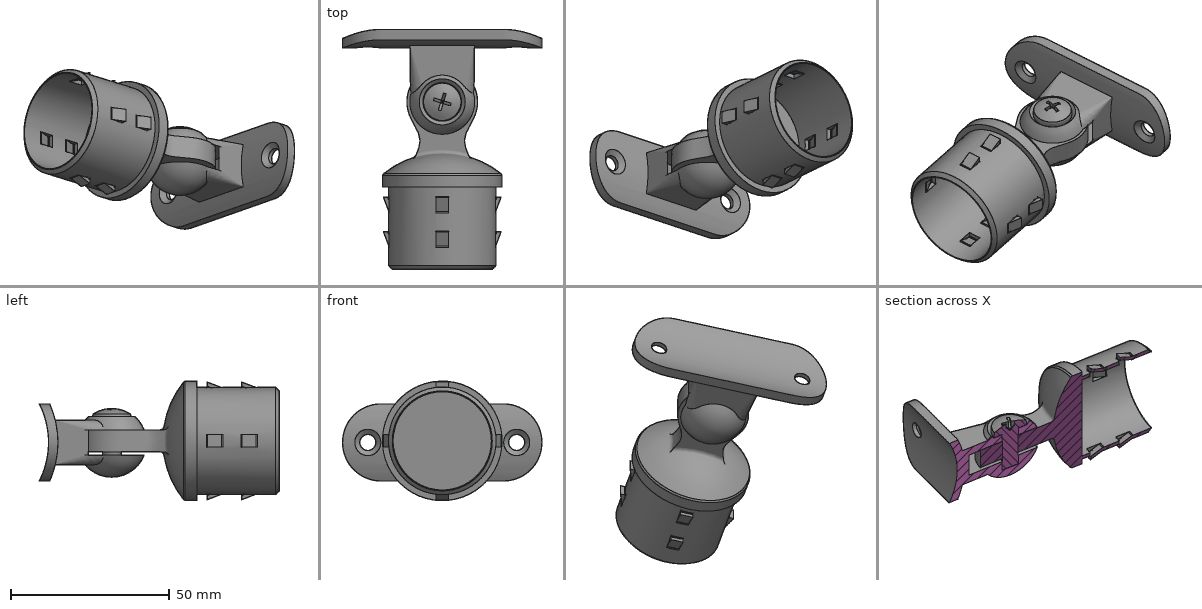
import cadquery as cq
import math


PLATE_LENGTH = 63.0
PLATE_HEIGHT = 24.4
PLATE_THICKNESS = 3.0
PLATE_FRONT_Y = 17.0
PLATE_BACK_RADIUS = 27.0
PLATE_FRONT_RADIUS = PLATE_BACK_RADIUS + PLATE_THICKNESS
PLATE_AXIS_Y = PLATE_FRONT_Y + PLATE_FRONT_RADIUS
PLATE_HOLE_SPACING = 47.0
PLATE_HOLE_DIAMETER = 5.0
COUNTERSINK_WIDTH = 8.2
COUNTERSINK_HEIGHT = 9.0
COUNTERSINK_DEPTH = 1.65

BASE_Z = -0.5
BALL_RADIUS = 11.0
BALL_TOP_Z = 7.8
NECK_HALF_WIDTH = 10.15
NECK_HALF_HEIGHT = 7.05
NECK_ROUNDING_AT_PIVOT = 5.4
NECK_ROUNDING_AT_PLATE = 0.05
NECK_ROOT_Y = PLATE_AXIS_Y - math.sqrt(PLATE_FRONT_RADIUS**2 - NECK_HALF_HEIGHT**2)
SLOT_HEIGHT = 8.0
SLOT_EDGE_Y = 7.4
SLOT_CENTRE_Y = 5.0
SLOT_RADIUS = math.hypot(NECK_HALF_WIDTH, SLOT_EDGE_Y - SLOT_CENTRE_Y)

SHANK_RADIUS = 3.0
SHANK_END_Z = -8.0
HEAD_RADIUS = 6.1
HEAD_CAP_RADIUS = 5.9
HEAD_SHOULDER_Z = 7.8
HEAD_CAP_Z = 8.5
HEAD_TOP_Z = 10.25
SEAT_RIM_RADIUS = 7.3
SEAT_Z = BALL_TOP_Z - (SEAT_RIM_RADIUS - HEAD_RADIUS)
RECESS_HALF_LENGTH = 3.15
RECESS_WIDTH = 0.85
RECESS_BOTTOM_Z = 7.0
RECESS_ANGLE = -17.0

TONGUE_THICKNESS = 7.0
TONGUE_EYE_RADIUS = 11.2
TONGUE_TANGENT_ANGLE = -27.0
WAIST_HALF_WIDTH = 7.05
WAIST_Y = -12.2
TONGUE_ROOT_HALF_WIDTH = 8.9
TONGUE_ROOT_Y = -18.3
TONGUE_ROOT_FLARE = 0.4
TONGUE_ROOT_FILLET = 1.2
DOME_TOP_Y = -16.1
DOME_EDGE_Y = -22.6
DOME_EDGE_RADIUS = 18.5
FLANGE_RADIUS = 18.9
FLANGE_TOP_Y = -23.2
FLANGE_BOTTOM_Y = -26.9
PLUG_RADIUS = 17.0
PLUG_END_Y = -52.9
PLUG_END_CHAMFER = 1.2
BORE_RADIUS = 15.5
BARB_WIDTH = 4.0
BARB_GAP = 0.15
BARB_RAMP_LENGTH = 4.5
BARB_ROOT_LENGTH = 0.5
BARB_TIP_RADIUS = 18.6
BARB_ROOT_RADIUS = 16.9
BARB_THICKNESS = BARB_ROOT_RADIUS - BORE_RADIUS
BARB_TIP_YS = (-30.1, -41.0)
BARB_COUNT_AROUND = 4


def z_cylinder(radius, bottom_z, top_z):
    return cq.Workplane("XY", origin=(0, 0, bottom_z)).circle(radius).extrude(top_z - bottom_z)


def wall_plate():
    outline = (
        cq.Workplane("XZ", origin=(0, PLATE_AXIS_Y, BASE_Z))
        .slot2D(PLATE_LENGTH, PLATE_HEIGHT)
        .extrude(PLATE_FRONT_RADIUS)
    )
    bent_sheet = (
        cq.Workplane("YZ", origin=(0, PLATE_AXIS_Y, BASE_Z))
        .circle(PLATE_FRONT_RADIUS)
        .circle(PLATE_BACK_RADIUS)
        .extrude(PLATE_LENGTH / 2, both=True)
    )
    plate = outline.intersect(bent_sheet)
    for side in (-1, 1):
        front = cq.Workplane("ZX", origin=(side * PLATE_HOLE_SPACING / 2, PLATE_FRONT_Y, BASE_Z))
        hole = front.circle(PLATE_HOLE_DIAMETER / 2).extrude(2 * PLATE_THICKNESS)
        countersink = (
            front.ellipse(COUNTERSINK_HEIGHT / 2, COUNTERSINK_WIDTH / 2)
            .workplane(offset=COUNTERSINK_DEPTH)
            .circle(PLATE_HOLE_DIAMETER / 2)
            .loft(ruled=True)
        )
        plate = plate.cut(hole).cut(countersink)
    return plate


def neck_section(rounding):
    return cq.Sketch().rect(2 * NECK_HALF_WIDTH, 2 * NECK_HALF_HEIGHT).vertices().fillet(rounding)


def neck():
    at_pivot = cq.Workplane("XZ", origin=(0, 0, BASE_Z))
    tapered = at_pivot.placeSketch(
        neck_section(NECK_ROUNDING_AT_PIVOT),
        neck_section(NECK_ROUNDING_AT_PLATE).moved(cq.Location(cq.Vector(0, 0, -NECK_ROOT_Y))),
    ).loft(ruled=True)
    root_depth = PLATE_FRONT_Y + PLATE_THICKNESS - NECK_ROOT_Y
    root = (
        cq.Workplane("XZ", origin=(0, NECK_ROOT_Y, BASE_Z))
        .placeSketch(neck_section(NECK_ROUNDING_AT_PLATE))
        .extrude(-root_depth)
    )
    return tapered.union(root)


def fork_slot():
    slot_top_z = TONGUE_THICKNESS / 2
    sheet = cq.Workplane("XY", origin=(0, SLOT_CENTRE_Y, slot_top_z - SLOT_HEIGHT))
    round_end = sheet.circle(SLOT_RADIUS).extrude(SLOT_HEIGHT)
    open_length = SLOT_CENTRE_Y + BALL_RADIUS
    open_part = sheet.center(0, -open_length / 2).rect(2 * BALL_RADIUS, open_length).extrude(SLOT_HEIGHT)
    return round_end.union(open_part)


def make_base():
    ball = cq.Workplane("XY", origin=(0, 0, BASE_Z)).sphere(BALL_RADIUS)
    ball = ball.cut(z_cylinder(BALL_RADIUS, BALL_TOP_Z, BALL_TOP_Z + BALL_RADIUS))
    base = wall_plate().union(neck()).union(ball).cut(fork_slot())
    seat = (
        cq.Workplane("XY", origin=(0, 0, BALL_TOP_Z))
        .circle(SEAT_RIM_RADIUS)
        .extrude(SEAT_Z - BALL_TOP_Z, taper=45)
    )
    return base.cut(seat).cut(z_cylinder(SHANK_RADIUS, SHANK_END_Z, BALL_TOP_Z))


def make_screw():
    cap_height = HEAD_TOP_Z - HEAD_CAP_Z
    cap_sphere_radius = (HEAD_CAP_RADIUS**2 + cap_height**2) / (2 * cap_height)
    cap_middle_x = HEAD_CAP_RADIUS / 2
    cap_middle_z = HEAD_TOP_Z - cap_sphere_radius + math.sqrt(cap_sphere_radius**2 - cap_middle_x**2)
    screw = (
        cq.Workplane("XZ")
        .moveTo(0, SHANK_END_Z)
        .lineTo(SHANK_RADIUS, SHANK_END_Z)
        .lineTo(SHANK_RADIUS, SEAT_Z)
        .lineTo(HEAD_RADIUS, SEAT_Z)
        .lineTo(HEAD_RADIUS, HEAD_SHOULDER_Z)
        .lineTo(HEAD_CAP_RADIUS, HEAD_CAP_Z)
        .threePointArc((cap_middle_x, cap_middle_z), (0, HEAD_TOP_Z))
        .close()
        .revolve(360, (0, 0), (0, 1))
    )
    arm = (
        cq.Workplane("XZ")
        .polyline([
            (-RECESS_HALF_LENGTH, HEAD_TOP_Z),
            (0, RECESS_BOTTOM_Z),
            (RECESS_HALF_LENGTH, HEAD_TOP_Z),
        ])
        .close()
        .extrude(RECESS_WIDTH / 2, both=True)
    )
    for angle in (RECESS_ANGLE, RECESS_ANGLE + 90):
        screw = screw.cut(arm.rotate((0, 0, 0), (0, 0, 1), angle))
    return screw


def tongue():
    tangent_angle = math.radians(TONGUE_TANGENT_ANGLE)
    tangent_x = TONGUE_EYE_RADIUS * math.cos(tangent_angle)
    tangent_y = TONGUE_EYE_RADIUS * math.sin(tangent_angle)
    leave_direction = (math.sin(tangent_angle), -math.cos(tangent_angle))
    root_direction = (TONGUE_ROOT_FLARE, -1)
    flank = [
        (tangent_x, tangent_y),
        (WAIST_HALF_WIDTH, WAIST_Y),
        (TONGUE_ROOT_HALF_WIDTH, TONGUE_ROOT_Y),
    ]
    half = (
        cq.Workplane("XY", origin=(0, 0, -TONGUE_THICKNESS / 2))
        .moveTo(0, TONGUE_EYE_RADIUS)
        .threePointArc((TONGUE_EYE_RADIUS, 0), flank[0])
        .spline(flank[1:], tangents=[leave_direction, root_direction], includeCurrent=True)
        .lineTo(0, TONGUE_ROOT_Y)
        .close()
        .extrude(TONGUE_THICKNESS)
    )
    return half.union(half.mirror("YZ"))


def cap_shell():
    sag = DOME_TOP_Y - DOME_EDGE_Y
    dome_radius = (DOME_EDGE_RADIUS**2 + sag**2) / (2 * sag)
    middle_x = DOME_EDGE_RADIUS / 2
    middle_y = DOME_TOP_Y - dome_radius + math.sqrt(dome_radius**2 - middle_x**2)
    return (
        cq.Workplane("XY")
        .moveTo(0, DOME_TOP_Y)
        .threePointArc((middle_x, middle_y), (DOME_EDGE_RADIUS, DOME_EDGE_Y))
        .lineTo(FLANGE_RADIUS, FLANGE_TOP_Y)
        .lineTo(FLANGE_RADIUS, FLANGE_BOTTOM_Y)
        .lineTo(PLUG_RADIUS, FLANGE_BOTTOM_Y)
        .lineTo(PLUG_RADIUS, PLUG_END_Y + PLUG_END_CHAMFER)
        .lineTo(PLUG_RADIUS - PLUG_END_CHAMFER, PLUG_END_Y)
        .lineTo(BORE_RADIUS, PLUG_END_Y)
        .lineTo(BORE_RADIUS, FLANGE_BOTTOM_Y)
        .lineTo(0, FLANGE_BOTTOM_Y)
        .close()
        .revolve(360, (0, 0), (0, 1))
    )


def barb_prism(points):
    return cq.Workplane("XY").polyline(points).close().extrude(BARB_WIDTH / 2, both=True)


def add_barbs(cap):
    for tip_y in BARB_TIP_YS:
        ramp_end_y = tip_y - BARB_RAMP_LENGTH
        root_y = ramp_end_y - BARB_ROOT_LENGTH
        window = barb_prism([
            (BORE_RADIUS - BARB_THICKNESS, tip_y + BARB_GAP),
            (BARB_TIP_RADIUS, tip_y + BARB_GAP),
            (BARB_TIP_RADIUS, root_y),
            (BORE_RADIUS - BARB_THICKNESS, root_y),
        ])
        flap = barb_prism([
            (BARB_TIP_RADIUS - BARB_THICKNESS, tip_y),
            (BARB_TIP_RADIUS, tip_y),
            (BARB_ROOT_RADIUS, ramp_end_y),
            (BARB_ROOT_RADIUS, root_y),
            (BORE_RADIUS, root_y),
            (BORE_RADIUS, ramp_end_y),
        ])
        for index in range(BARB_COUNT_AROUND):
            angle = index * 360 / BARB_COUNT_AROUND
            cap = cap.cut(window.rotate((0, 0, 0), (0, 1, 0), angle))
            cap = cap.union(flap.rotate((0, 0, 0), (0, 1, 0), angle))
    return cap


def make_cap():
    cap = cap_shell().union(tongue())
    root_box = cq.selectors.BoxSelector(
        (-TONGUE_ROOT_HALF_WIDTH, TONGUE_ROOT_Y, -TONGUE_THICKNESS),
        (TONGUE_ROOT_HALF_WIDTH, DOME_TOP_Y, TONGUE_THICKNESS),
        boundingbox=True,
    )
    cap = cap.edges(root_box).fillet(TONGUE_ROOT_FILLET)
    cap = add_barbs(cap)
    return cap.cut(z_cylinder(SHANK_RADIUS, -TONGUE_THICKNESS / 2, TONGUE_THICKNESS / 2))


base = make_base()
screw = make_screw()
cap = make_cap()
result = cq.Compound.makeCompound([body.solids().val() for body in (base, screw, cap)])